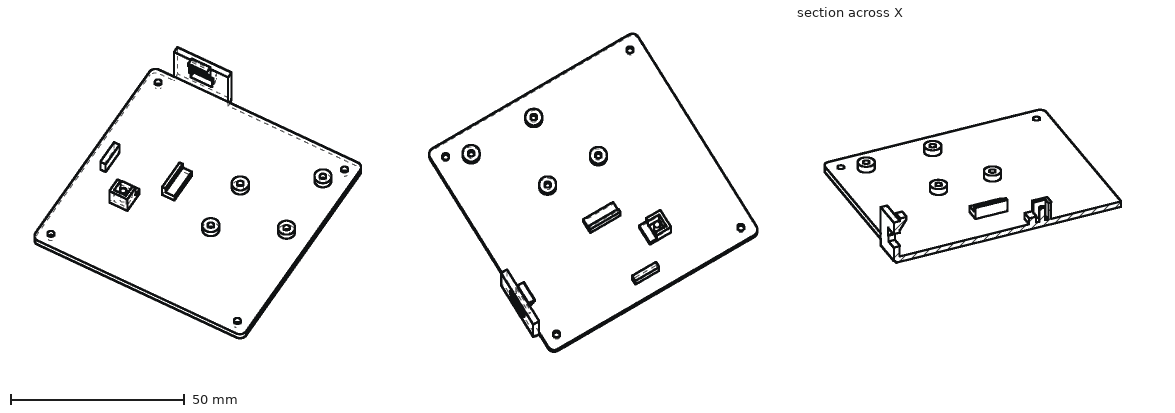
import cadquery as cq

plate_side = 70.0
plate_thickness = 2.0
corner_radius = 2.0
mount_hole_diameter = 2.0
mount_hole_inset = 4.0

standoff_diameter = 5.0
standoff_height = 2.0
standoff_hole_diameter = 1.9
standoff_centres = [(27.5, 24.5), (8.1, 10.45), (27.5, 3.45), (8.1, -6.6)]

tab_width = 18.0
tab_thickness = 2.0
tab_height = 14.1
tab_centre_x = -19.0
tab_chamfer = 0.9

window_width = 8.1
window_narrow_width = 7.2
window_bottom_z = 5.55
window_step_z = 7.5
window_top_z = 10.0

hook_width = 6.2
hook_reach = 2.1
hook_top_z = 15.0
hook_nose_height = 1.0
hook_height = 4.2

rib_thickness = 1.8
rib_length = 8.0
rib_height = 3.8
rib_centre = (-29.1, -0.15)

bracket_width = 4.0
bracket_length = 10.1
bracket_height = 2.0
bracket_lip_thickness = 1.1
bracket_lip_height = rib_height
bracket_left_x = -10.1
bracket_centre_y = 2.0

socket_width = 6.0
socket_length = 7.1
socket_height = 5.6
socket_centre_x = -18.9
socket_front_y = -12.95
socket_wall = 1.0
socket_tall_length = 4.75
socket_step_height = 2.0
pin_diameter = 1.9
pin_height = 4.5

plate_edge_y = plate_side / 2


def block(x, y, z, width, length, height):
    """Box centred on x, with its -Y face at y and its underside at z."""
    return (
        cq.Workplane("XY", origin=(x, y, z))
        .box(width, length, height, centered=(True, False, False))
    )


def make_plate():
    hole_spacing = plate_side - 2 * mount_hole_inset
    return (
        cq.Workplane("XY")
        .box(plate_side, plate_side, plate_thickness, centered=(True, True, False))
        .edges("|Z")
        .fillet(corner_radius)
        .faces(">Z")
        .workplane()
        .rect(hole_spacing, hole_spacing, forConstruction=True)
        .vertices()
        .hole(mount_hole_diameter)
    )


def make_standoffs():
    return (
        cq.Workplane("XY", origin=(0, 0, plate_thickness))
        .pushPoints(standoff_centres)
        .circle(standoff_diameter / 2)
        .circle(standoff_hole_diameter / 2)
        .extrude(standoff_height)
    )


def make_tab():
    tab = (
        block(tab_centre_x, plate_edge_y, 0, tab_width, tab_thickness, tab_height)
        .edges(">Y and <Z")
        .chamfer(tab_chamfer)
    )
    lower_window = block(
        tab_centre_x, plate_edge_y, window_bottom_z,
        window_narrow_width, tab_thickness, window_step_z - window_bottom_z,
    )
    upper_window = block(
        tab_centre_x, plate_edge_y, window_step_z,
        window_width, tab_thickness, window_top_z - window_step_z,
    )
    return tab.cut(lower_window).cut(upper_window)


def make_hook():
    nose_y = plate_edge_y - hook_reach
    return (
        cq.Workplane("YZ", origin=(tab_centre_x, 0, 0))
        .moveTo(plate_edge_y, hook_top_z)
        .lineTo(nose_y, hook_top_z)
        .lineTo(nose_y, hook_top_z - hook_nose_height)
        .lineTo(plate_edge_y, hook_top_z - hook_height)
        .close()
        .extrude(hook_width / 2, both=True)
    )


def make_rib():
    rib_x, rib_y = rib_centre
    return block(
        rib_x, rib_y - rib_length / 2, plate_thickness,
        rib_thickness, rib_length, rib_height,
    )


def make_bracket():
    front_y = bracket_centre_y - bracket_length / 2
    foot = block(
        bracket_left_x + bracket_width / 2, front_y, plate_thickness,
        bracket_width, bracket_length, bracket_height,
    )
    lip = block(
        bracket_left_x + bracket_lip_thickness / 2, front_y, plate_thickness,
        bracket_lip_thickness, bracket_length, bracket_lip_height,
    )
    return foot.union(lip)


def make_socket():
    step = block(
        socket_centre_x, socket_front_y, plate_thickness,
        socket_width, socket_length, socket_step_height,
    )
    tall_part = block(
        socket_centre_x, socket_front_y, plate_thickness,
        socket_width, socket_tall_length, socket_height,
    )
    pocket_width = socket_width - 2 * socket_wall
    pocket_length = socket_tall_length - socket_wall
    pocket = block(
        socket_centre_x, socket_front_y + socket_wall, plate_thickness,
        pocket_width, pocket_length, socket_height,
    )
    pin = (
        cq.Workplane("XY", origin=(0, 0, plate_thickness))
        .center(socket_centre_x, socket_front_y + socket_wall + pocket_length / 2)
        .circle(pin_diameter / 2)
        .extrude(pin_height)
    )
    return step.union(tall_part).cut(pocket).union(pin)


result = (
    make_plate()
    .union(make_standoffs())
    .union(make_tab())
    .union(make_hook())
    .union(make_rib())
    .union(make_bracket())
    .union(make_socket())
)